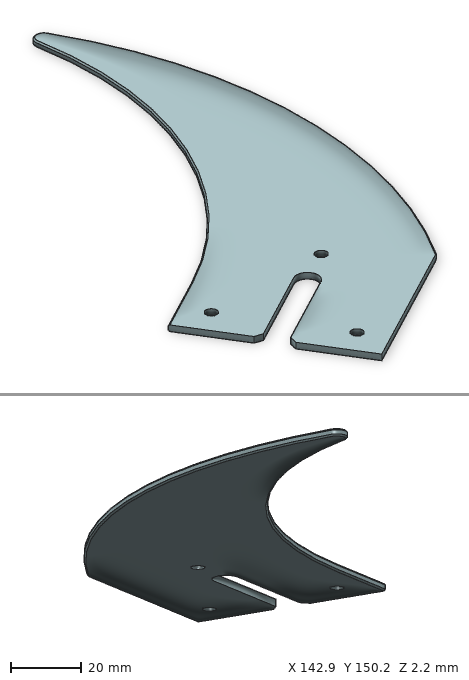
import cadquery as cq
import math

length_x = 142.86
length_y = 150.15
thickness = 2.2

shank_width = 63.0
right_x = shank_width / 2
left_x = -shank_width / 2
right_side_height = 59.2

inner_radius = 130.0
outer_radius = 164.0
tip_radius = 3.1
tip_center = (right_x - length_x + tip_radius, length_y - tip_radius)

bevel = 0.5

slot_width = 8.0
slot_height = 39.0
slot_mouth_chamfer = 2.2

hole_diameter = 4.0
lower_hole_spacing = 43.0
lower_hole_height = 10.0
upper_hole_height = 50.0
hole_points = [
    (-lower_hole_spacing / 2, lower_hole_height),
    (lower_hole_spacing / 2, lower_hole_height),
    (0, upper_hole_height),
]


def direction(start, end):
    """Angle of the line from start to end."""
    return math.atan2(end[1] - start[1], end[0] - start[0])


def on_circle(center, radius, angle):
    return (center[0] + radius * math.cos(angle), center[1] + radius * math.sin(angle))


def inner_arc_center():
    """Center of the arc tangent to the left side and to the outside of the tip circle."""
    x = left_x - inner_radius
    rise = math.sqrt((inner_radius + tip_radius) ** 2 - (tip_center[0] - x) ** 2)
    return (x, tip_center[1] - rise)


def outer_arc_center(corner):
    """Center of the arc through the corner that encloses and touches the tip circle."""
    to_tip = outer_radius - tip_radius
    chord = math.dist(corner, tip_center)
    cosine = (outer_radius**2 + chord**2 - to_tip**2) / (2 * outer_radius * chord)
    angle = direction(corner, tip_center) + math.acos(cosine)
    return on_circle(corner, outer_radius, angle)


def make_blank():
    """Shank and blade with the blade edges beveled on both faces."""
    corner = (right_x, right_side_height)
    outer_center = outer_arc_center(corner)
    inner_center = inner_arc_center()

    corner_angle = direction(outer_center, corner)
    outer_tip_angle = direction(outer_center, tip_center)
    inner_tip_angle = direction(inner_center, tip_center)

    outer_middle = on_circle(outer_center, outer_radius, (corner_angle + outer_tip_angle) / 2)
    outer_end = on_circle(outer_center, outer_radius, outer_tip_angle)
    tip_middle = on_circle(tip_center, tip_radius, (outer_tip_angle + inner_tip_angle + math.pi) / 2)
    inner_start = on_circle(inner_center, inner_radius, inner_tip_angle)
    inner_middle = on_circle(inner_center, inner_radius, inner_tip_angle / 2)

    blank = (
        cq.Workplane("XY")
        .moveTo(left_x, 0)
        .lineTo(right_x, 0)
        .lineTo(*corner)
        .threePointArc(outer_middle, outer_end)
        .threePointArc(tip_middle, inner_start)
        .threePointArc(inner_middle, (left_x, inner_center[1]))
        .close()
        .extrude(thickness)
    )
    return blank.faces("|Z").edges("not (<Y or >X)").chamfer(bevel)


def make_slot():
    """Round-topped slot with a flared mouth."""
    half_width = slot_width / 2
    mouth_half_width = half_width + slot_mouth_chamfer
    return (
        cq.Workplane("XY")
        .moveTo(-mouth_half_width, 0)
        .lineTo(mouth_half_width, 0)
        .lineTo(half_width, slot_mouth_chamfer)
        .lineTo(half_width, slot_height - half_width)
        .threePointArc((0, slot_height), (-half_width, slot_height - half_width))
        .lineTo(-half_width, slot_mouth_chamfer)
        .close()
        .extrude(thickness)
    )


def make_holes():
    return cq.Workplane("XY").pushPoints(hole_points).circle(hole_diameter / 2).extrude(thickness)


result = make_blank().cut(make_slot()).cut(make_holes())